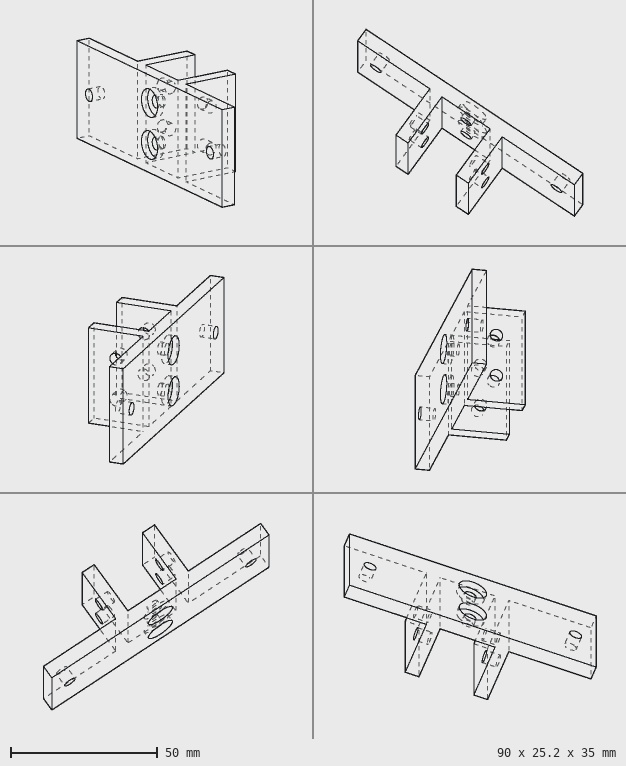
import cadquery as cq

plate_length = 90.0
plate_height = 35.0
plate_thickness = 5.0
total_depth = 25.2

rib_thickness = 5.0
rib_gap = 20.0
rib_offset = (rib_gap + rib_thickness) / 2

hole_diameter = 4.3
end_hole_spacing = 75.0
hole_pair_spacing = 15.0
counterbore_diameter = 10.0
counterbore_depth = plate_thickness / 2
rib_hole_from_back = (total_depth - plate_thickness) / 2

pair_heights = (-hole_pair_spacing / 2, hole_pair_spacing / 2)


def make_plate():
    return cq.Workplane("XY").box(
        plate_length, plate_thickness, plate_height, centered=(True, False, True)
    )


def make_rib(x_center):
    """Rib running the full depth, so that it merges into the plate."""
    rib = cq.Workplane("XY").box(
        rib_thickness, total_depth, plate_height, centered=(True, False, True)
    )
    return rib.translate((x_center, 0, 0))


def cylinder_along_y(x, z, diameter, depth):
    """Cutter that enters the plate from its front face."""
    return cq.Workplane(cq.Solid.makeCylinder(
        diameter / 2, depth, cq.Vector(x, 0, z), cq.Vector(0, 1, 0)
    ))


def cylinder_along_x(y, z, diameter):
    """Cutter that crosses both ribs."""
    return cq.Workplane(cq.Solid.makeCylinder(
        diameter / 2, plate_length, cq.Vector(-plate_length / 2, y, z), cq.Vector(1, 0, 0)
    ))


result = make_plate()
for side in (-1, 1):
    result = result.union(make_rib(side * rib_offset))

for side in (-1, 1):
    end_x = side * end_hole_spacing / 2
    result = result.cut(cylinder_along_y(end_x, 0, hole_diameter, plate_thickness))

for z in pair_heights:
    result = result.cut(cylinder_along_y(0, z, hole_diameter, plate_thickness))
    result = result.cut(cylinder_along_y(0, z, counterbore_diameter, counterbore_depth))
    result = result.cut(cylinder_along_x(total_depth - rib_hole_from_back, z, hole_diameter))